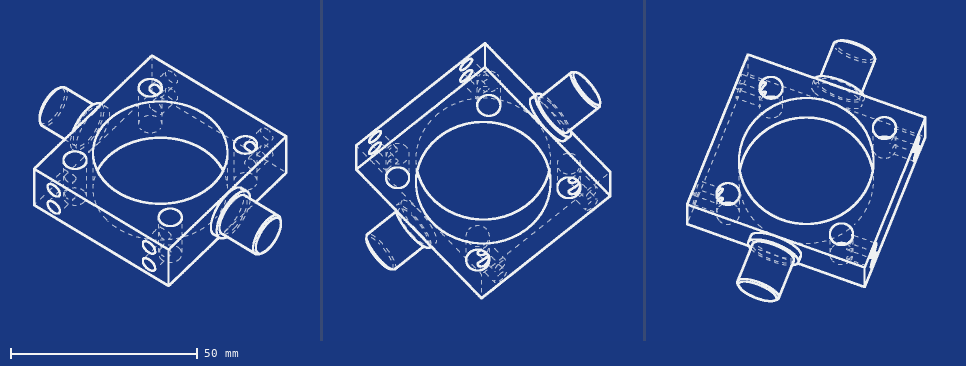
import cadquery as cq

overall_length = 74.0
block_length = 46.0
block_width = 51.0
block_height = 15.0
bore_diameter = 36.1

collar_diameter = 14.5
collar_length = 2.0
pin_diameter = 12.0
pin_chamfer = 0.5

corner_hole_diameter = 6.2
corner_hole_spacing = 32.55
cross_hole_diameter = 4.2
cross_hole_spacing = 7.0


def trunnion(side):
    """Collar and chamfered pin pointing along X; side is +1 or -1."""
    face = cq.Workplane("YZ", origin=(side * block_length / 2, 0, 0))
    collar = face.circle(collar_diameter / 2).extrude(side * collar_length)
    pin_length = (overall_length - block_length) / 2
    pin = face.circle(pin_diameter / 2).extrude(side * pin_length)
    end_face = ">X" if side > 0 else "<X"
    return collar.union(pin.faces(end_face).chamfer(pin_chamfer))


def cross_holes(side):
    """Four holes from a Y face to the axes of the nearest corner holes."""
    depth = (block_width - corner_hole_spacing) / 2
    return (
        cq.Workplane("XZ", origin=(0, side * block_width / 2, 0))
        .rarray(corner_hole_spacing, cross_hole_spacing, 2, 2)
        .circle(cross_hole_diameter / 2)
        .extrude(side * depth)
    )


block = cq.Workplane("XY").box(block_length, block_width, block_height)
bored_block = block.faces(">Z").workplane().hole(bore_diameter)

result = (
    bored_block.faces(">Z")
    .workplane(origin=(0, 0, 0))
    .rarray(corner_hole_spacing, corner_hole_spacing, 2, 2)
    .hole(corner_hole_diameter)
)
for side in (-1, 1):
    result = result.cut(cross_holes(side)).union(trunnion(side))